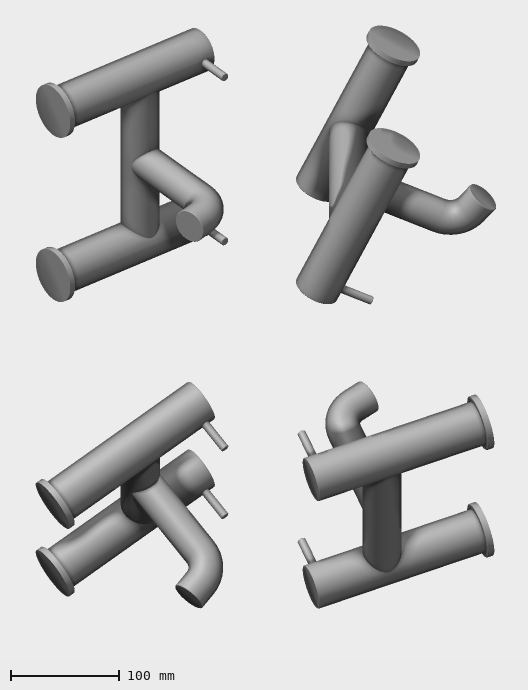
import cadquery as cq
import math

overall_height = 232.0
overall_depth = 171.0
flange_diameter = 52.0
flange_thickness = 6.0
body_diameter = 42.0
handle_diameter = 8.0
handle_reach = 51.0
handle_inset = 11.1
bridge_diameter = 36.0
bridge_inset = 70.3
spout_diameter = 32.0
spout_straight_length = 91.5
spout_bend_radius = 25.0
spout_bend_angle = 75.0
outlet_length = 17.0
edge_break = 0.5

valve_spacing = overall_height - flange_diameter
bridge_y = overall_depth - bridge_inset
handle_y = overall_depth - handle_inset


def rod(start, direction, diameter, length):
    """Solid round bar from a start point along a direction."""
    return cq.Workplane(
        cq.Solid.makeCylinder(diameter / 2, length, cq.Vector(*start), cq.Vector(*direction))
    )


def rimmed_rod(start, direction, diameter, length):
    """Round bar with a chamfered rim at its far end."""
    bar = rod(start, direction, diameter, length)
    far_end = bar.faces(cq.selectors.DirectionMinMaxSelector(cq.Vector(*direction), True))
    return far_end.chamfer(edge_break)


def valve(z):
    """Valve body with its mounting flange and lever handle."""
    flange = rimmed_rod((0, 0, z), (0, 1, 0), flange_diameter, flange_thickness)
    body = rimmed_rod((0, 0, z), (0, 1, 0), body_diameter, overall_depth)
    handle = rimmed_rod((0, handle_y, z), (1, 0, 0), handle_diameter, handle_reach)
    return flange.union(body).union(handle)


def spout():
    """Straight pipe, bend toward the flanges and straight outlet."""
    angle = math.radians(spout_bend_angle)
    bend_end_x = spout_straight_length + spout_bend_radius * math.sin(angle)
    bend_end_y = bridge_y - spout_bend_radius * (1 - math.cos(angle))
    outlet_direction = (math.cos(angle), -math.sin(angle), 0)

    straight = rod((0, bridge_y, 0), (1, 0, 0), spout_diameter, spout_straight_length)
    bend = (
        cq.Workplane("YZ", origin=(spout_straight_length, bridge_y, 0))
        .circle(spout_diameter / 2)
        .revolve(spout_bend_angle, (-spout_bend_radius, 0), (-spout_bend_radius, -1))
    )
    outlet = rimmed_rod((bend_end_x, bend_end_y, 0), outlet_direction, spout_diameter, outlet_length)
    return straight.union(bend).union(outlet)


result = rod((0, bridge_y, -valve_spacing / 2), (0, 0, 1), bridge_diameter, valve_spacing)
for side in (-1, 1):
    result = result.union(valve(side * valve_spacing / 2))
result = result.union(spout())